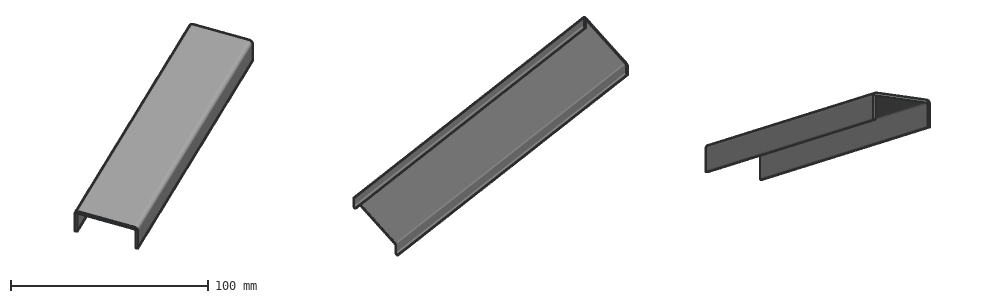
import cadquery as cq

width = 34.8
length = 152.4
height = 14.22

thickness = 1.575
inner_bend_radius = thickness / 2
outer_bend_radius = inner_bend_radius + thickness

tip_radius = thickness / 2


def arch(arch_width, top, bottom, corner_radius):
    """Block running along Y, centred on X, with its two long top edges rounded."""
    block = cq.Workplane("XY").box(arch_width, length, top - bottom, centered=(True, True, False))
    return block.edges("|Y and >Z").fillet(corner_radius).translate((0, 0, bottom))


def flange_tip(side):
    """Rod that rounds the lower end of the flange on the given side of X (-1 or 1)."""
    tip_x = side * (width - thickness) / 2
    tip_z = tip_radius - height / 2
    return cq.Workplane("XZ", origin=(tip_x, length / 2, tip_z)).circle(tip_radius).extrude(length)


def make_channel():
    """Sheet-metal channel: a flat web on top and two flanges pointing down."""
    top = height / 2
    straight_bottom = tip_radius - height / 2
    outside = arch(width, top, straight_bottom, outer_bend_radius)
    inside = arch(width - 2 * thickness, top - thickness, straight_bottom, inner_bend_radius)
    channel = outside.cut(inside)
    for side in (-1, 1):
        channel = channel.union(flange_tip(side))
    return channel.clean()


result = make_channel()